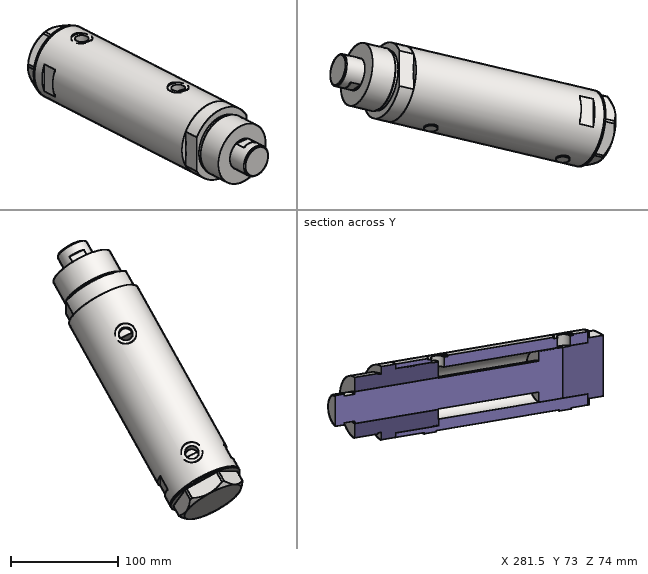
import cadquery as cq
import math


hex_end = 14.5
tube_start = 16.3
piston_start = 42.8
gland_start = 173.0
tube_end = 218.2
wrench_end = 233.5
collar_start = 237.0
collar_end = 261.3
rod_flat_end = 271.7
rod_end = 281.5

tube_diameter = 73.0
bore_diameter = 50.0
gland_seat_diameter = 63.0
tube_flat_start = 26.5
tube_flat_end = 41.0
tube_across_flats = 67.0

port_positions = [41.7, 173.7]
port_diameter = 13.0
spotface_diameter = 20.0
spotface_depth = 1.27

boss_positions = [40.0, 181.5]
boss_diameter = 13.0
boss_protrusion = 1.0

hex_across_flats = 60.0
hex_corner_diameter = 67.8
hex_face_diameter = 59.7
hex_tilt = 7.5

wrench_across_flats = 63.3
neck_diameter = 58.0
collar_diameter = 60.2

rod_diameter = 31.0
rod_across_flats = 27.0
rod_chamfer = 1.0
piston_length = 25.3


def cylinder_x(diameter, start, end):
    """Cylinder on the X axis between two stations."""
    return cq.Workplane("YZ").workplane(offset=start).circle(diameter / 2).extrude(end - start)


def cylinder_z(diameter, x, bottom, top):
    """Vertical cylinder centred over the axis at station x."""
    return cq.Workplane("XY").workplane(offset=bottom).center(x, 0).circle(diameter / 2).extrude(top - bottom)


def cut_flats(body, start, end, across_flats, direction):
    """Mill two opposite flats whose normals point along +direction and -direction."""
    cutter_size = tube_diameter
    cutter = cq.Workplane("XY").box(end - start, cutter_size, cutter_size)
    middle = (start + end) / 2
    for side in (-1, 1):
        offset = direction * (side * (across_flats + cutter_size) / 2)
        body = body.cut(cutter.translate(cq.Vector(middle, 0, 0) + offset))
    return body


def make_tube():
    """Tube with a stepped bore, two oil ports, two bosses and a pair of flats."""
    outer_radius = tube_diameter / 2
    tube = cylinder_x(tube_diameter, tube_start, tube_end)
    for x in boss_positions:
        tube = tube.union(cylinder_z(boss_diameter, x, -outer_radius - boss_protrusion, 0))
    tube = tube.cut(cylinder_x(bore_diameter, tube_start, gland_start))
    tube = tube.cut(cylinder_x(gland_seat_diameter, gland_start, tube_end))
    for x in port_positions:
        tube = tube.cut(cylinder_z(port_diameter, x, 0, outer_radius))
        tube = tube.cut(cylinder_z(spotface_diameter, x, outer_radius - spotface_depth, outer_radius))
    return cut_flats(tube, tube_flat_start, tube_flat_end, tube_across_flats, cq.Vector(0, 1, 0))


def make_cap():
    """Hexagon with turned-off corners, thin flange, and a plug that fills the bore end."""
    full_corner_diameter = hex_across_flats / math.cos(math.radians(30))
    hexagon = cq.Workplane("YZ").polygon(6, full_corner_diameter).extrude(hex_end)
    hexagon = hexagon.rotate((0, 0, 0), (1, 0, 0), -hex_tilt)
    turned_blank = cylinder_x(hex_corner_diameter, 0, hex_end)
    turned_blank = turned_blank.faces("<X").chamfer((hex_corner_diameter - hex_face_diameter) / 2)
    flange = cylinder_x(tube_diameter, hex_end, tube_start)
    plug = cylinder_x(bore_diameter, tube_start, piston_start)
    return hexagon.intersect(turned_blank).union(flange).union(plug)


def make_gland():
    """Spigot seated in the tube, wrench ring, neck and collar, bored for the rod."""
    spigot = cylinder_x(gland_seat_diameter, gland_start, tube_end)
    wrench_ring = cylinder_x(tube_diameter, tube_end, wrench_end)
    wrench_ring = cut_flats(wrench_ring, tube_end, wrench_end, wrench_across_flats, cq.Vector(0, 1, 0))
    cone_length = (collar_diameter - neck_diameter) / 2
    cone_start = collar_start - cone_length
    neck = cylinder_x(neck_diameter, wrench_end, cone_start)
    collar = cylinder_x(collar_diameter, cone_start, collar_end).faces("<X").chamfer(cone_length)
    gland = spigot.union(wrench_ring).union(neck).union(collar)
    return gland.cut(cylinder_x(rod_diameter, gland_start, collar_end))


def make_piston_rod():
    """Rod with its piston against the cap plug and a pair of flats near the free end."""
    rod = cylinder_x(rod_diameter, piston_start, rod_end).faces(">X").chamfer(rod_chamfer)
    rod = cut_flats(rod, collar_end, rod_flat_end, rod_across_flats, cq.Vector(0, 0, 1))
    piston = cylinder_x(bore_diameter, piston_start, piston_start + piston_length)
    return rod.union(piston)


tube = make_tube()
cap = make_cap()
gland = make_gland()
piston_rod = make_piston_rod()

result = cq.Compound.makeCompound([tube.val(), cap.val(), gland.val(), piston_rod.val()])